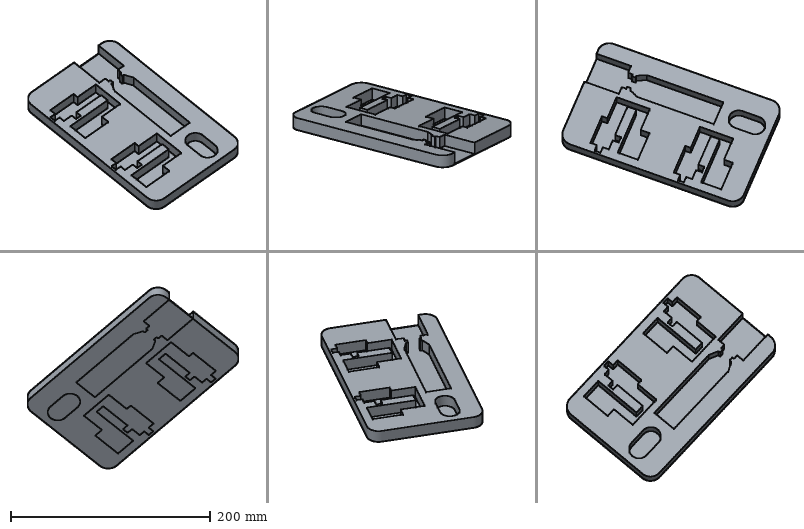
import cadquery as cq

plate_length = 195.0
plate_width = 120.0
plate_height = 13.0
corner_radius = 12.0

floor_thickness = 1.0
pocket_depth = plate_height - floor_thickness

tool_axis_y = 86.8
handle_end_x = 37.2
neck_end_x = 42.1
throat_end_x = 46.2
flare_end_x = 55.5
tool_end_x = 138.3
handle_width = 33.3
neck_width = 17.2
throat_width = 12.7
tool_body_width = 26.1

slot_center = (168.5, 87.8)
slot_length = 38.0
slot_width = 20.0

first_pocket_left = 30.6
pocket_spacing = 89.9
stepped_pocket_lefts = (first_pocket_left, first_pocket_left + pocket_spacing)
base_bottom_y = 9.0
base_width = 51.3
base_height = 31.8
head_offset = 5.8
head_width = 35.9
head_top_y = 66.0
rib_offset = 19.9
rib_width = 9.5
rib_top_y = 60.0
small_notch_size = 6.5
rib_notch_bottom_y = 19.7
edge_notch_offset = 7.0


def pocket_block(left, bottom, width, height):
    """Rectangular block from the pocket floor to the top of the plate."""
    return (
        cq.Workplane("XY", origin=(left, bottom, floor_thickness))
        .box(width, height, pocket_depth, centered=False)
    )


def tool_pocket():
    """Handle, neck, throat and flared body of the long tool."""
    upper_half = [
        (0, handle_width / 2),
        (handle_end_x, handle_width / 2),
        (handle_end_x, neck_width / 2),
        (neck_end_x, neck_width / 2),
        (neck_end_x, throat_width / 2),
        (throat_end_x, throat_width / 2),
        (throat_end_x, neck_width / 2),
        (flare_end_x, tool_body_width / 2),
        (tool_end_x, tool_body_width / 2),
    ]
    lower_half = [(x, -y) for x, y in reversed(upper_half)]
    return (
        cq.Workplane("XY", origin=(0, tool_axis_y, floor_thickness))
        .polyline(upper_half + lower_half)
        .close()
        .extrude(pocket_depth)
    )


def slot_pocket():
    return (
        cq.Workplane("XY", origin=(*slot_center, floor_thickness))
        .slot2D(slot_length, slot_width)
        .extrude(pocket_depth)
    )


def stepped_pocket(left):
    """Stepped outline with a notched rib left standing and a notch in its front edge."""
    base = pocket_block(left, base_bottom_y, base_width, base_height)
    head = pocket_block(left + head_offset, base_bottom_y, head_width, head_top_y - base_bottom_y)
    rib = pocket_block(left + rib_offset, base_bottom_y, rib_width, rib_top_y - base_bottom_y)
    rib_notch = pocket_block(left + rib_offset, rib_notch_bottom_y, small_notch_size, small_notch_size)
    edge_notch = pocket_block(
        left + edge_notch_offset, base_bottom_y - small_notch_size, small_notch_size, small_notch_size
    )
    return base.union(head).cut(rib).union(rib_notch).union(edge_notch)


plate = (
    cq.Workplane("XY")
    .box(plate_length, plate_width, plate_height, centered=False)
    .edges("|Z")
    .fillet(corner_radius)
)

result = plate.cut(tool_pocket()).cut(slot_pocket())
for pocket_left in stepped_pocket_lefts:
    result = result.cut(stepped_pocket(pocket_left))